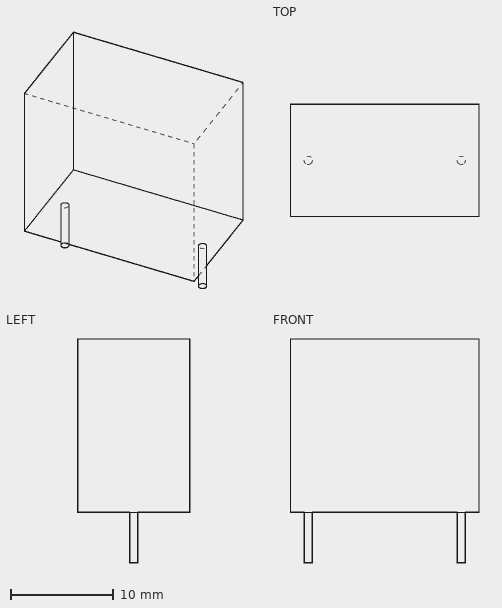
import cadquery as cq

body_length = 18.5
body_width = 11.0
body_height = 17.0

overall_height = 21.95
lead_diameter = 0.81
lead_pitch = 15.0
lead_length = overall_height - body_height


def make_body():
    """Plain rectangular block standing on the Z = 0 plane."""
    return cq.Workplane("XY").box(body_length, body_width, body_height, centered=(True, True, False))


def make_lead(x):
    """Round lead hanging from the underside of the body at the given X."""
    return cq.Workplane("XY").center(x, 0).circle(lead_diameter / 2).extrude(-lead_length)


body = make_body()
leads = [make_lead(side * lead_pitch / 2) for side in (-1, 1)]

result = cq.Compound.makeCompound([body.val(), *[lead.val() for lead in leads]])